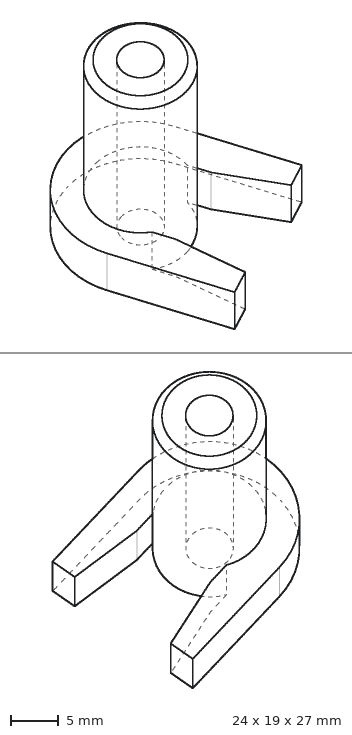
import cadquery as cq

total_height = 27.0
base_length = 24.0
base_width = 19.0
base_height = 6.0
pin_diameter = 12.0
pin_top_diameter = 10.0
bore_diameter = 5.0
slot_width = 10.0
slot_mouth_width = 13.0
taper_start = 6.0

base_radius = base_width / 2
arm_end = base_length - base_radius
pin_chamfer = (pin_diameter - pin_top_diameter) / 2


def make_fork_base():
    """U-shaped plate: rounded back and two arms that thin towards their tips."""
    slot_half = slot_width / 2
    mouth_half = slot_mouth_width / 2
    return (
        cq.Workplane("XY")
        .moveTo(0, base_radius)
        .threePointArc((-base_radius, 0), (0, -base_radius))
        .lineTo(arm_end, -base_radius)
        .lineTo(arm_end, -mouth_half)
        .lineTo(taper_start, -slot_half)
        .lineTo(0, -slot_half)
        .lineTo(0, slot_half)
        .lineTo(taper_start, slot_half)
        .lineTo(arm_end, mouth_half)
        .lineTo(arm_end, base_radius)
        .close()
        .extrude(base_height)
    )


def make_pin():
    """Full-height round pin with a chamfered top edge."""
    pin = cq.Workplane("XY").circle(pin_diameter / 2).extrude(total_height)
    return pin.faces(">Z").edges().chamfer(pin_chamfer)


bore = cq.Workplane("XY").circle(bore_diameter / 2).extrude(total_height)
result = make_fork_base().union(make_pin()).cut(bore)